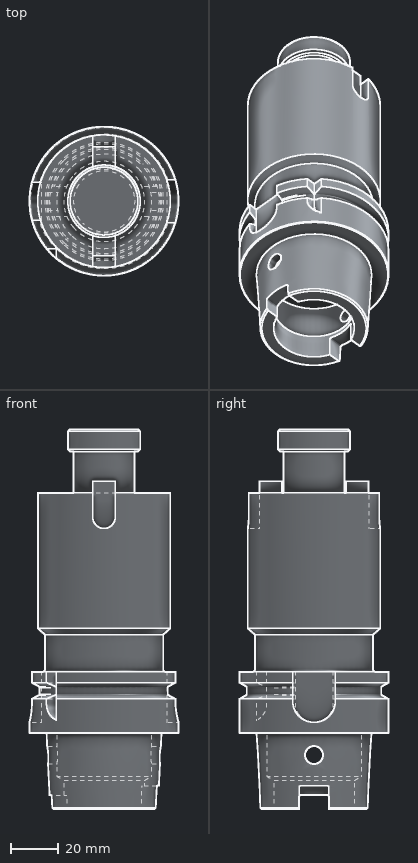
import cadquery as cq
import math


shank_length = 32.0
shank_top_dia = 48.63
taper_ratio = 0.1
shank_bottom_dia = shank_top_dia - taper_ratio * shank_length
shank_chamfer = 0.7
bore_mouth_dia = 34.0
chamber_dia = 40.0
chamber_floor_z = -18.0
chamber_roof_z = 0.0
shoulder_angle = 30.0
cross_hole_dia = 7.5
cross_hole_z = -9.1
keyway_width = 12.54
keyway_corner_radius = 0.8
shallow_keyway_depth = 6.0
deep_keyway_depth = 10.0

flange_dia = 63.0
flange_height = 26.0
flange_edge_chamfer = 0.3
groove_dia = 56.8
groove_center_z = 18.0
groove_mouth_width = 6.9
groove_wall_angle = 30.0
groove_fillet = 0.5

slot_floor_x = 26.5
narrow_slot_width = 16.0
wide_slot_width = 18.0
slot_bottom_z = 4.7
notch_width = 16.0
notch_offset = 20.05

neck_dia = 50.0
neck_fillet = 1.0
body_dia = 56.0
body_start_z = 41.7
body_cone_height = 2.6
body_top_z = 101.5

pilot_dia = 25.8
head_dia = 30.6
head_height = 9.5
head_chamfer = 1.0
top_z = 128.45

key_width = 9.5
key_inner_y = 13.4
key_outer_y = 23.0
key_projection = 5.0
key_length = 20.0
key_top_z = body_top_z + key_projection
key_bottom_z = key_top_z - key_length


def turned_body():
    """Revolve the outer half-section about Z, without groove or bore."""
    shank_r = shank_bottom_dia / 2
    flange_r = flange_dia / 2
    neck_r = neck_dia / 2
    body_r = body_dia / 2
    pilot_r = pilot_dia / 2
    head_r = head_dia / 2
    head_bottom_z = top_z - head_height
    chamfer_r = shank_r + taper_ratio / 2 * shank_chamfer
    fillet_mid = neck_fillet * (1 - math.sqrt(0.5))
    profile = (
        cq.Workplane("XZ")
        .moveTo(0, -shank_length)
        .lineTo(shank_r - shank_chamfer, -shank_length)
        .lineTo(chamfer_r, -shank_length + shank_chamfer)
        .lineTo(shank_top_dia / 2, 0)
        .lineTo(flange_r - flange_edge_chamfer, 0)
        .lineTo(flange_r, flange_edge_chamfer)
        .lineTo(flange_r, flange_height)
        .lineTo(neck_r + neck_fillet, flange_height)
        .threePointArc(
            (neck_r + fillet_mid, flange_height + fillet_mid),
            (neck_r, flange_height + neck_fillet),
        )
        .lineTo(neck_r, body_start_z)
        .lineTo(body_r, body_start_z + body_cone_height)
        .lineTo(body_r, body_top_z)
        .lineTo(pilot_r, body_top_z)
        .lineTo(pilot_r, head_bottom_z)
        .lineTo(head_r - head_chamfer, head_bottom_z)
        .lineTo(head_r, head_bottom_z + head_chamfer)
        .lineTo(head_r, top_z - head_chamfer)
        .lineTo(head_r - head_chamfer, top_z)
        .lineTo(0, top_z)
        .close()
    )
    return profile.revolve(360, (0, 0), (0, 1))


def round_bottom_slot(plane, center, width, bottom_z, slot_top_z, start, end):
    """Slot prism with a half-round lower end, extruded along the plane normal from start to end."""
    radius = width / 2
    arc_z = bottom_z + radius
    return (
        cq.Workplane(plane)
        .workplane(offset=start)
        .moveTo(center - radius, slot_top_z)
        .lineTo(center - radius, arc_z)
        .threePointArc((center, bottom_z), (center + radius, arc_z))
        .lineTo(center + radius, slot_top_z)
        .close()
        .extrude(end - start)
    )


def gripper_groove():
    """Ring that cuts the V-groove, with rounded corners along its floor."""
    flange_r = flange_dia / 2
    groove_r = groove_dia / 2
    flank_height = (flange_r - groove_r) * math.tan(math.radians(groove_wall_angle))
    mouth_half = groove_mouth_width / 2
    floor_half = mouth_half - flank_height
    ring = (
        cq.Workplane("XZ")
        .moveTo(flange_r, groove_center_z - mouth_half)
        .lineTo(groove_r, groove_center_z - floor_half)
        .lineTo(groove_r, groove_center_z + floor_half)
        .lineTo(flange_r, groove_center_z + mouth_half)
        .close()
        .revolve(360, (0, 0), (0, 1))
    )
    floor_edges = ring.edges("%CIRCLE").edges(cq.selectors.RadiusNthSelector(0))
    return floor_edges.fillet(groove_fillet)


def shank_bore():
    """Blind bore that widens over a conical clamping shoulder into a chamber."""
    mouth_r = bore_mouth_dia / 2
    chamber_r = chamber_dia / 2
    shoulder_height = (chamber_r - mouth_r) * math.tan(math.radians(shoulder_angle))
    return (
        cq.Workplane("XZ")
        .moveTo(0, -shank_length)
        .lineTo(mouth_r, -shank_length)
        .lineTo(mouth_r, chamber_floor_z - shoulder_height)
        .lineTo(chamber_r, chamber_floor_z)
        .lineTo(chamber_r, chamber_roof_z)
        .lineTo(0, chamber_roof_z)
        .close()
        .revolve(360, (0, 0), (0, 1))
    )


def flange_slots():
    """The two drive slots at -X and +X."""
    narrow = round_bottom_slot(
        "YZ", 0, narrow_slot_width, slot_bottom_z, flange_height, -flange_dia, -slot_floor_x
    )
    wide = round_bottom_slot(
        "YZ", 0, wide_slot_width, slot_bottom_z, flange_height, slot_floor_x, flange_dia
    )
    return narrow.union(wide)


def orientation_notch():
    """Square-cornered notch in the -X, -Y quadrant with a rounded lower end."""
    center_y = -notch_offset - notch_width / 2
    return round_bottom_slot(
        "YZ", center_y, notch_width, slot_bottom_z, flange_height, -flange_dia, -notch_offset
    )


def shank_keyway(side, depth):
    """Keyway in the shank end, from the axis outward; side is -1 or +1 along X."""
    reach = shank_top_dia
    return (
        cq.Workplane("XY")
        .box(reach, keyway_width, 2 * depth)
        .edges("|X")
        .fillet(keyway_corner_radius)
        .translate((side * reach / 2, 0, -shank_length))
    )


def cross_hole():
    """Hole through both sides of the shank along X."""
    return (
        cq.Workplane("YZ")
        .center(0, cross_hole_z)
        .circle(cross_hole_dia / 2)
        .extrude(shank_top_dia, both=True)
    )


def drive_key(side):
    """Key standing on the body face; side is -1 or +1 along Y."""
    key_depth = key_outer_y - key_inner_y
    key_center_y = side * (key_inner_y + key_outer_y) / 2
    return (
        cq.Workplane("XY")
        .workplane(offset=body_top_z)
        .center(0, key_center_y)
        .rect(key_width, key_depth)
        .extrude(key_projection)
    )


def key_slot(side):
    """Round-bottomed slot in the body, outward of the key face."""
    start, end = sorted((-side * key_outer_y, -side * body_dia))
    return round_bottom_slot("XZ", 0, key_width, key_bottom_z, body_top_z, start, end)


result = turned_body()
result = result.cut(gripper_groove())
result = result.cut(shank_bore())
result = result.cut(flange_slots())
result = result.cut(orientation_notch())
result = result.cut(shank_keyway(-1, shallow_keyway_depth))
result = result.cut(shank_keyway(1, deep_keyway_depth))
result = result.cut(cross_hole())
for key_side in (-1, 1):
    result = result.cut(key_slot(key_side))
    result = result.union(drive_key(key_side)).clean()